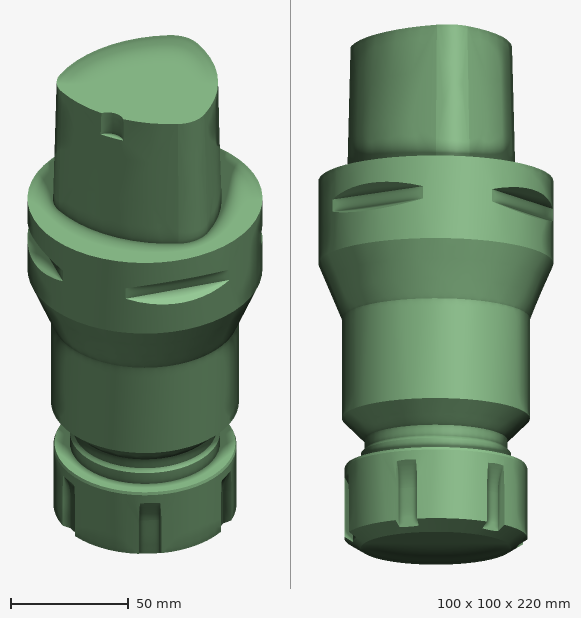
import cadquery as cq
import math


flange_diameter = 100.0
body_diameter = 80.0
neck_diameter = 61.0
thread_diameter = 64.0
nut_diameter = 78.0
nut_end_diameter = 64.0

flange_depth = 36.0
body_start_depth = 60.0
body_end_depth = 103.5
shoulder_depth = body_end_depth + (body_diameter - neck_diameter) / 2
thread_lead_start_depth = 117.5
thread_start_depth = thread_lead_start_depth + (thread_diameter - neck_diameter) / 2
nut_start_depth = 124.5
nut_chamfer_depth = 155.6
total_depth = 160.0

nut_rim_height = 1.2
nut_rim_inset = 0.5

shank_height = 60.0
shank_width = 71.7
shank_lobe_radius = 14.7
shank_taper = 1 / 20
shank_taper_angle = math.degrees(math.atan(shank_taper / 2))
lobe_center_radius = (shank_width - 2 * shank_lobe_radius) / math.sqrt(3)
lobe_directions = (90, 210, 330)
lobe_spacing = 360 / len(lobe_directions)
arc_half_span = lobe_spacing / 4

notch_radius = 6.8
notch_height = 10.7
notch_center_y = -35.2

groove_count = 4
groove_first_angle = 45.0
groove_depth = 16.0
groove_floor_radius = 44.3
groove_floor_height = 5.3
groove_wall_angle = 30.0

slot_count = 6
slot_floor_width = 8.6
slot_wall_angle = 9.0
slot_floor_radius = 35.1
slot_top_depth = 129.6
slot_runout_depth = 141.0

clearance = 5.0


def polar(radius, angle):
    """Point at a radius and an angle in degrees."""
    return radius * math.cos(math.radians(angle)), radius * math.sin(math.radians(angle))


def offset_point(center, radius, angle):
    """Point at a radius and an angle in degrees around a center."""
    dx, dy = polar(radius, angle)
    return center[0] + dx, center[1] + dy


def make_body():
    """Flange, body, neck, thread collar and nut as one revolved profile."""
    flange_radius = flange_diameter / 2
    body_radius = body_diameter / 2
    neck_radius = neck_diameter / 2
    thread_radius = thread_diameter / 2
    nut_radius = nut_diameter / 2
    profile = [
        (0, 0),
        (flange_radius, 0),
        (flange_radius, -flange_depth),
        (body_radius, -body_start_depth),
        (body_radius, -body_end_depth),
        (neck_radius, -shoulder_depth),
        (neck_radius, -thread_lead_start_depth),
        (thread_radius, -thread_start_depth),
        (thread_radius, -nut_start_depth),
        (nut_radius - nut_rim_inset, -nut_start_depth),
        (nut_radius, -nut_start_depth - nut_rim_height),
        (nut_radius, -nut_chamfer_depth),
        (nut_end_diameter / 2, -total_depth),
        (0, -total_depth),
    ]
    return cq.Workplane("XZ").polyline(profile).close().revolve(360, (0, 0), (0, 1))


def make_shank():
    """Tapered shank: each lobe arc is followed by a flank arc centered on the opposite lobe."""
    flank_radius = shank_width - shank_lobe_radius
    first_center = polar(lobe_center_radius, lobe_directions[0])
    start = offset_point(first_center, shank_lobe_radius, lobe_directions[0] - arc_half_span)
    outline = cq.Workplane("XY").moveTo(*start)
    for direction in lobe_directions:
        flank_direction = direction + lobe_spacing / 2
        lobe_center = polar(lobe_center_radius, direction)
        opposite_center = polar(lobe_center_radius, flank_direction + 180)
        lobe_middle = offset_point(lobe_center, shank_lobe_radius, direction)
        lobe_end = offset_point(lobe_center, shank_lobe_radius, direction + arc_half_span)
        flank_middle = offset_point(opposite_center, flank_radius, flank_direction)
        flank_end = offset_point(opposite_center, flank_radius, flank_direction + arc_half_span)
        outline = outline.threePointArc(lobe_middle, lobe_end)
        outline = outline.threePointArc(flank_middle, flank_end)
    return outline.close().extrude(shank_height, taper=shank_taper_angle)


def make_notch_cutter():
    """Vertical round cutter for the locating notch."""
    notch_floor = cq.Workplane("XY").workplane(offset=shank_height - notch_height)
    return notch_floor.center(0, notch_center_y).circle(notch_radius).extrude(notch_height + clearance)


def make_groove_cutter(angle):
    """Straight trapezoidal groove that widens outward, turned to its angle."""
    outer_radius = flange_diameter / 2 + clearance
    floor_half = groove_floor_height / 2
    flare = (outer_radius - groove_floor_radius) * math.tan(math.radians(groove_wall_angle))
    section = [
        (groove_floor_radius, -groove_depth - floor_half),
        (outer_radius, -groove_depth - floor_half - flare),
        (outer_radius, -groove_depth + floor_half + flare),
        (groove_floor_radius, -groove_depth + floor_half),
    ]
    cutter = cq.Workplane("XZ").polyline(section).close().extrude(flange_diameter / 2, both=True)
    return cutter.rotate((0, 0, 0), (0, 0, 1), angle)


def make_slot_cutter(angle):
    """Straight tapered-wall slot, open at the nut end, whose upper end is left by a round disc cutter."""
    nut_radius = nut_diameter / 2
    outer_radius = nut_radius + clearance
    runout_rise = slot_runout_depth - slot_top_depth
    slot_cut = nut_radius - slot_floor_radius
    disc_radius = (runout_rise**2 + slot_cut**2) / (2 * slot_cut)
    disc_center_x = slot_floor_radius + disc_radius
    floor_half = slot_floor_width / 2
    flare = (outer_radius - slot_floor_radius) * math.tan(math.radians(slot_wall_angle))
    section = [
        (slot_floor_radius, -floor_half),
        (slot_floor_radius, floor_half),
        (outer_radius, floor_half + flare),
        (outer_radius, -floor_half - flare),
    ]
    runout_plane = cq.Workplane("XY").workplane(offset=-slot_runout_depth)
    straight = runout_plane.polyline(section).close().extrude(slot_runout_depth - total_depth - clearance)
    disc = runout_plane.polyline(section).close().revolve(360, (disc_center_x, 0), (disc_center_x, 1))
    return straight.union(disc).rotate((0, 0, 0), (0, 0, 1), angle)


result = make_body().union(make_shank()).cut(make_notch_cutter())

for index in range(groove_count):
    result = result.cut(make_groove_cutter(groove_first_angle + index * 360 / groove_count))

for index in range(slot_count):
    result = result.cut(make_slot_cutter(index * 360 / slot_count))